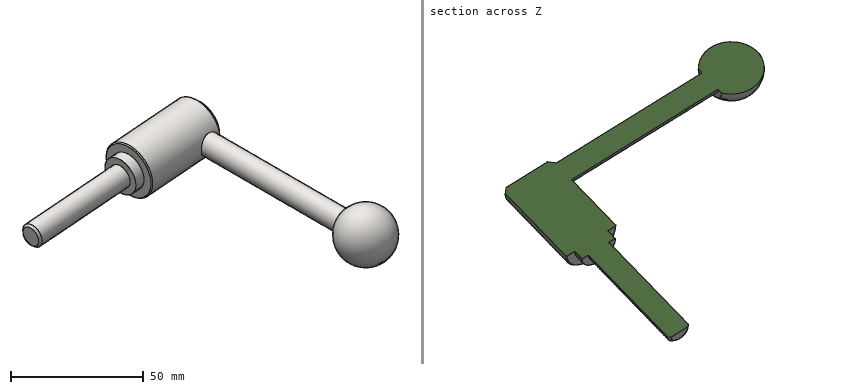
import cadquery as cq

hub_diameter = 24.0
hub_length = 40.0
hub_back = 7.5
hub_back_chamfer = 2.1
hub_front_chamfer = 0.5

collar_diameter = 16.0
collar_length = 4.5

stud_diameter = 10.0
stud_end_chamfer = 0.9

arm_diameter = 10.0

ball_diameter = 25.0
overall_length = 116.5
overall_depth = 99.4
ball_flat_offset = 10.3

hub_front = hub_back - hub_length
collar_front = hub_front - collar_length
ball_radius = ball_diameter / 2
ball_x = overall_length - hub_diameter / 2 - ball_radius
stud_length = collar_front - (ball_radius - overall_depth)


def cylinder_forward(diameter, length, back):
    """Cylinder on the hub axis, running towards -Y from y = back."""
    return cq.Workplane("XZ", origin=(0, back, 0)).circle(diameter / 2).extrude(length)


def make_hub():
    hub = cylinder_forward(hub_diameter, hub_length, hub_back)
    hub = hub.faces(">Y").chamfer(hub_back_chamfer)
    return hub.faces("<Y").chamfer(hub_front_chamfer)


def make_stud():
    collar = cylinder_forward(collar_diameter, collar_length, hub_front)
    stud = cylinder_forward(stud_diameter, stud_length, collar_front)
    return collar.union(stud.faces("<Y").chamfer(stud_end_chamfer))


def make_arm():
    return cq.Workplane("YZ").circle(arm_diameter / 2).extrude(ball_x)


def make_ball():
    """Sphere cut flat where the arm enters it."""
    keep_length = ball_flat_offset + ball_radius
    keep = (
        cq.Workplane("YZ", origin=(ball_x - ball_flat_offset, 0, 0))
        .rect(ball_diameter, ball_diameter)
        .extrude(keep_length)
    )
    return cq.Workplane("XY").sphere(ball_radius).translate((ball_x, 0, 0)).intersect(keep)


result = make_hub().union(make_stud()).union(make_arm()).union(make_ball())